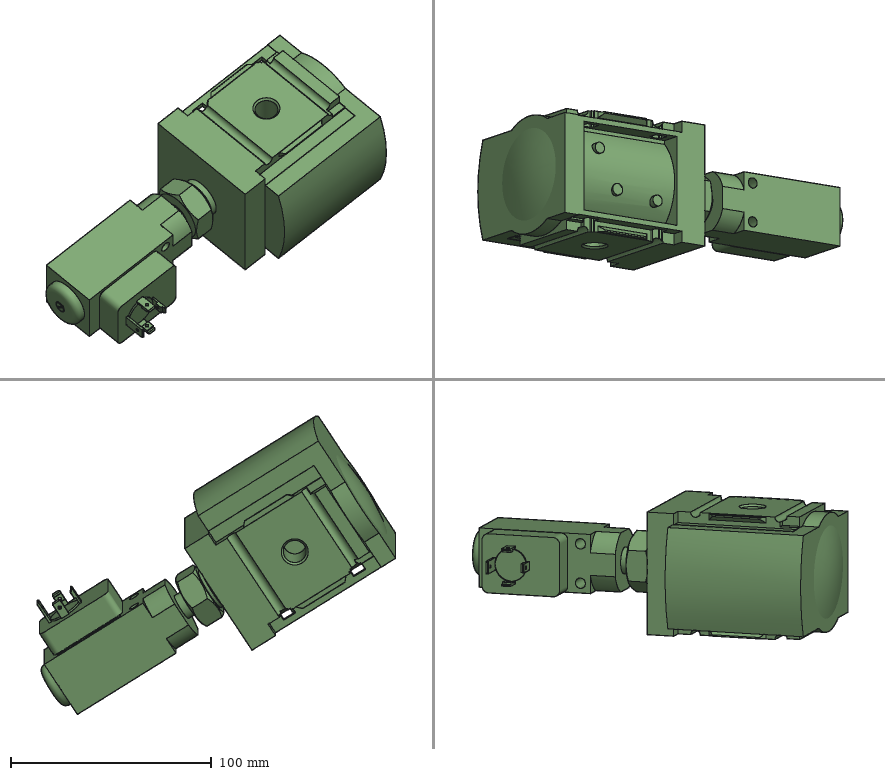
import cadquery as cq
import math


block_side = 62.0
block_depth = 76.3
front_plate = 14.0
half_block = block_side / 2
plate_half_width = 48.2 / 2
ledge_z = 25.3

cover_half_height = 51.2 / 2
cover_back_y = 85.0
cover_flat_x = 40.4
overall_width = 75.8
cover_crown_x = overall_width - half_block
back_disc_radius = 30.0
dome_radius = 23.3
dome_height = 2.6

port_y = (front_plate + block_depth) / 2
port_diameter = 11.4
port_countersink = 13.4
port_depth = 18.6
groove_diameter = 5.0
groove_spacing = 44.1
corner_notch_inner_x = 20.1
corner_notch_start_y = 67.4
corner_notch_floor_z = 26.3
rail_reach = 2.6
rail_length = 29.8
rail_end_slant = 2.5
rail_lip = 0.7
rail_drop = 3.4
rail_top_step = 0.4

clamp_outer_x = -27.7
clamp_inner_x = -23.3
clamp_key_x = -22.3
clamp_width = 6.9
clamp_key_width = 4.3
clamp_offsets = (-20.9, 20.5)

window_start_y = 17.0
window_end_y = 73.2
window_half_height = 22.7
window_floor_x = -20.3
core_radius = 29.0
studs = ((62.5, 11.0, 5.5, -29.5), (51.2, -8.5, 6.0, -28.7), (27.5, -11.2, 5.5, -29.5))

collar_diameter = 20.9
collar_rim_diameter = 21.5
collar_rim_y = -3.4
nut_start_y = -5.0
nut_end_y = -17.0
nut_across_flats = 27.0
nut_face_diameter = 26.0
nut_chamfer_angle = 30.0
stub_rim_diameter = 13.8
stub_rim_end_y = -17.9
stub_diameter = 13.4

switch_start_y = -21.8
switch_end_y = -93.1
switch_width = 30.5
switch_height = 30.0
neck_length = 13.0
neck_diameter = 32.5
mount_hole_diameter = 5.2
mount_hole_y = -40.0
mount_hole_spacing = 20.0
button_diameter = 23.6
button_length = 5.4
button_fillet = 3.0
screw_recess_diameter = 6.0
screw_recess_depth = 1.5
screw_diameter = 5.0
screw_stand_out = 0.2
screw_slot_width = 1.0
screw_slot_depth = 0.7
screw_slot_angle = 45.0

connector_center_y = -66.7
connector_start_x = 16.2
connector_end_x = 29.2
connector_length = 40.5
connector_height = 30.0
connector_radius = 3.4
gasket_inset = 1.7
pin_center_y = -71.7
pin_base_diameter = 16.4
pin_base_height = 1.0
pin_outer_face = 9.5
pin_hole_diameter = 1.65
signal_pin_width = 4.5
signal_pin_thickness = 1.0
signal_pin_fold_thickness = 1.9
signal_pin_fold_start_x = 33.0
signal_pin_fold_end_x = 36.7
signal_pin_tip_x = 38.4
signal_pin_hole_x = 34.5
earth_pin_width = 6.3
earth_pin_thickness = 1.21
earth_pin_tip_x = 41.2
earth_pin_hole_x = 37.2
pin_tip_chamfer = 0.5
pin_tip_bevel_length = 0.7
pin_tip_bevel_depth = 0.28


def box(x0, x1, y0, y1, z0, z1):
    """Box between two opposite corners."""
    return cq.Workplane("XY").box(x1 - x0, y1 - y0, z1 - z0, centered=False).translate((x0, y0, z0))


def y_cylinder(diameter, y_from, y_to):
    """Cylinder on the Y axis, reaching from y_from down to y_to."""
    return cq.Workplane("XZ", origin=(0, y_from, 0)).circle(diameter / 2).extrude(y_from - y_to)


def above_and_below(feature):
    """The feature together with its mirror image below the XY plane."""
    return feature.union(feature.mirror("XY"))


def make_block():
    front = box(-half_block, half_block, 0, front_plate, -half_block, half_block)
    ledges = box(-half_block, half_block, front_plate, block_depth, -ledge_z, ledge_z)
    plates = box(-plate_half_width, plate_half_width, front_plate, block_depth, -half_block, half_block)
    return front.union(ledges).union(plates)


def make_cover():
    back = box(-half_block, half_block, block_depth, cover_back_y, -cover_half_height, cover_half_height)
    side = (
        cq.Workplane("XZ", origin=(0, cover_back_y, 0))
        .moveTo(half_block, -cover_half_height)
        .lineTo(cover_flat_x, -cover_half_height)
        .threePointArc((cover_crown_x, 0), (cover_flat_x, cover_half_height))
        .lineTo(half_block, cover_half_height)
        .close()
        .extrude(cover_back_y - front_plate)
    )
    disc = y_cylinder(2 * back_disc_radius, cover_back_y, block_depth)
    return back.union(side).union(disc)


def make_dome():
    """Shallow spherical cap on the back of the cover."""
    return (
        cq.Workplane("XY", origin=(0, cover_back_y, 0))
        .lineTo(dome_radius, 0)
        .threePointArc(dome_arc_middle(), (0, dome_height))
        .close()
        .revolve(360, (0, 0, 0), (0, 1, 0))
    )


def dome_arc_middle():
    """Point halfway along the radius on the dome's meridian arc."""
    sphere_radius = (dome_radius**2 + dome_height**2) / (2 * dome_height)
    x = dome_radius / 2
    return x, dome_height - sphere_radius + math.sqrt(sphere_radius**2 - x**2)


def make_rail(side):
    """Dovetail rail with slanted ends and a sloping underside; side is -1 or +1 along X."""
    wall_x = side * plate_half_width
    tip_x = side * (plate_half_width + rail_reach)
    half_root = rail_length / 2
    half_tip = half_root - rail_end_slant
    outline = (
        cq.Workplane("XY")
        .polyline(
            [
                (wall_x, port_y - half_root),
                (tip_x, port_y - half_tip),
                (tip_x, port_y + half_tip),
                (wall_x, port_y + half_root),
            ]
        )
        .close()
        .extrude(half_block)
    )
    rail_top = half_block - rail_top_step
    profile = (
        cq.Workplane("XZ", origin=(0, port_y + half_root, 0))
        .polyline(
            [
                (wall_x, rail_top),
                (tip_x, rail_top),
                (tip_x, rail_top - rail_lip),
                (wall_x, half_block - rail_drop),
            ]
        )
        .close()
        .extrude(rail_length)
    )
    return outline.intersect(profile)


def make_port():
    chamfer = (port_countersink - port_diameter) / 2
    bore = (
        cq.Workplane("XY", origin=(0, port_y, half_block)).circle(port_diameter / 2).extrude(-port_depth)
    )
    countersink = cq.Workplane(
        cq.Solid.makeCone(
            port_countersink / 2,
            port_diameter / 2,
            chamfer,
            pnt=cq.Vector(0, port_y, half_block),
            dir=cq.Vector(0, 0, -1),
        )
    )
    return bore.union(countersink)


def make_groove(y):
    """Half-round groove across the full width of a plate."""
    return (
        cq.Workplane("YZ", origin=(-plate_half_width, y, half_block))
        .circle(groove_diameter / 2)
        .extrude(2 * plate_half_width)
    )


def make_corner_notch(side):
    x0, x1 = sorted((side * corner_notch_inner_x, side * plate_half_width))
    return box(x0, x1, corner_notch_start_y, block_depth, corner_notch_floor_z, half_block)


def make_clamp_slot(y):
    """Slot from the plate top through the ledge into the window."""
    half = clamp_width / 2
    half_key = clamp_key_width / 2
    slot = box(clamp_outer_x, clamp_inner_x, y - half, y + half, window_half_height, half_block)
    key = box(clamp_inner_x, clamp_key_x, y - half_key, y + half_key, window_half_height, half_block)
    return slot.union(key)


def make_window():
    """Side recess that leaves the round core standing in it."""
    recess = box(
        -half_block, window_floor_x, window_start_y, window_end_y, -window_half_height, window_half_height
    )
    return recess.cut(y_cylinder(2 * core_radius, window_end_y, window_start_y))


def make_stud(y, z, diameter, tip_x):
    return cq.Workplane("YZ", origin=(tip_x, y, z)).circle(diameter / 2).extrude(window_floor_x - tip_x)


def make_housing():
    body = make_block().union(make_cover()).union(make_dome())
    cuts = [make_port()]
    for side in (-1, 1):
        body = body.union(above_and_below(make_rail(side)))
        cuts.append(make_groove(port_y + side * groove_spacing / 2))
        cuts.append(make_corner_notch(side))
    for offset in clamp_offsets:
        cuts.append(make_clamp_slot(port_y + offset))
    for cut in cuts:
        body = body.cut(above_and_below(cut))
    body = body.cut(make_window())
    for stud in studs:
        body = body.union(make_stud(*stud))
    return body


def make_nut():
    """Hexagon with a corner at the top, chamfered at both ends."""
    corner_diameter = nut_across_flats / math.cos(math.pi / 6)
    hexagon = (
        cq.Workplane("XZ", origin=(0, nut_start_y, 0))
        .polygon(6, corner_diameter)
        .extrude(nut_start_y - nut_end_y)
        .rotate((0, 0, 0), (0, 1, 0), 30)
    )
    radius = corner_diameter / 2
    face_radius = nut_face_diameter / 2
    chamfer = (radius - face_radius) * math.tan(math.radians(nut_chamfer_angle))
    envelope = (
        cq.Workplane("XY")
        .polyline(
            [
                (0, nut_start_y),
                (face_radius, nut_start_y),
                (radius, nut_start_y - chamfer),
                (radius, nut_end_y + chamfer),
                (face_radius, nut_end_y),
                (0, nut_end_y),
            ]
        )
        .close()
        .revolve(360, (0, 0, 0), (0, 1, 0))
    )
    return hexagon.intersect(envelope)


def make_nipple():
    collar = y_cylinder(collar_diameter, 0, collar_rim_y)
    collar_rim = y_cylinder(collar_rim_diameter, collar_rim_y, nut_start_y)
    stub_rim = y_cylinder(stub_rim_diameter, nut_end_y, stub_rim_end_y)
    stub = y_cylinder(stub_diameter, stub_rim_end_y, switch_start_y)
    return make_nut().union(collar).union(collar_rim).union(stub_rim).union(stub)


def make_switch_case():
    half_width = switch_width / 2
    half_height = switch_height / 2
    neck_end_y = switch_start_y - neck_length
    main = box(-half_width, half_width, switch_end_y, neck_end_y, -half_height, half_height)
    neck = box(-half_width, half_width, neck_end_y, switch_start_y, -half_height, half_height)
    neck = neck.intersect(y_cylinder(neck_diameter, switch_start_y, neck_end_y))
    holes = (
        cq.Workplane("YZ", origin=(-half_width, mount_hole_y, 0))
        .pushPoints([(0, -mount_hole_spacing / 2), (0, mount_hole_spacing / 2)])
        .circle(mount_hole_diameter / 2)
        .extrude(switch_width)
    )
    return main.union(neck).cut(holes)


def make_button():
    """Round button with a slotted screw standing in its recess."""
    face_y = switch_end_y - button_length
    recess_floor_y = face_y + screw_recess_depth
    screw_end_y = face_y - screw_stand_out
    button = y_cylinder(button_diameter, switch_end_y, face_y).faces("<Y").edges().fillet(button_fillet)
    button = button.cut(y_cylinder(screw_recess_diameter, recess_floor_y, face_y))
    slot = (
        cq.Workplane("XZ", origin=(0, screw_end_y + screw_slot_depth, 0))
        .rect(screw_diameter, screw_slot_width)
        .extrude(screw_slot_depth)
        .rotate((0, 0, 0), (0, 1, 0), -screw_slot_angle)
    )
    screw = y_cylinder(screw_diameter, recess_floor_y, screw_end_y).cut(slot)
    return button.union(screw)


def make_connector_block():
    half_length = connector_length / 2
    half_height = connector_height / 2
    block = box(
        connector_start_x,
        connector_end_x,
        connector_center_y - half_length,
        connector_center_y + half_length,
        -half_height,
        half_height,
    )
    block = block.edges("|X").fillet(connector_radius)
    gasket = box(
        switch_width / 2,
        connector_start_x,
        connector_center_y - half_length + gasket_inset,
        connector_center_y + half_length - gasket_inset,
        gasket_inset - half_height,
        half_height - gasket_inset,
    )
    pin_base = (
        cq.Workplane("YZ", origin=(connector_end_x, pin_center_y, 0))
        .circle(pin_base_diameter / 2)
        .extrude(pin_base_height)
    )
    return block.union(gasket).union(pin_base)


def make_blade_profile(width, thickness, tip_x):
    """Side profile of a blade, bevelled on both faces at the tip."""
    inner_z = pin_outer_face - thickness
    bevel_x = tip_x - pin_tip_bevel_length
    return (
        cq.Workplane("XZ", origin=(0, width / 2, 0))
        .polyline(
            [
                (connector_end_x, inner_z),
                (bevel_x, inner_z),
                (tip_x, inner_z + pin_tip_bevel_depth),
                (tip_x, pin_outer_face - pin_tip_bevel_depth),
                (bevel_x, pin_outer_face),
                (connector_end_x, pin_outer_face),
            ]
        )
        .close()
        .extrude(width)
    )


def make_blade(width, thickness, tip_x, hole_x, fold_thickness):
    """Contact blade on the +Z side of the pin centre, with its outer face at pin_outer_face."""
    outer_z = pin_outer_face
    half = width / 2
    blade = box(connector_end_x, tip_x, -half, half, outer_z - thickness, outer_z)
    blade = blade.edges("|Z and >X").chamfer(pin_tip_chamfer)
    blade = blade.intersect(make_blade_profile(width, thickness, tip_x))
    if fold_thickness > thickness:
        fold = box(
            signal_pin_fold_start_x, signal_pin_fold_end_x, -half, half, outer_z - fold_thickness, outer_z
        )
        blade = blade.union(fold)
    hole = cq.Workplane("XY", origin=(hole_x, 0, 0)).circle(pin_hole_diameter / 2).extrude(outer_z)
    return blade.cut(hole)


def make_pins():
    """Three signal blades and one wider earth blade around the pin centre."""
    signal = make_blade(
        signal_pin_width,
        signal_pin_thickness,
        signal_pin_tip_x,
        signal_pin_hole_x,
        signal_pin_fold_thickness,
    )
    earth = make_blade(
        earth_pin_width, earth_pin_thickness, earth_pin_tip_x, earth_pin_hole_x, earth_pin_thickness
    )
    pins = earth.rotate((0, 0, 0), (1, 0, 0), 90)
    for angle in (0, 180, -90):
        pins = pins.union(signal.rotate((0, 0, 0), (1, 0, 0), angle))
    return pins.translate((0, pin_center_y, 0))


def make_switch():
    return make_switch_case().union(make_button()).union(make_connector_block()).union(make_pins())


housing = make_housing()
nipple = make_nipple()
switch = make_switch()
result = cq.Compound.makeCompound([housing.val(), nipple.val(), switch.val()])